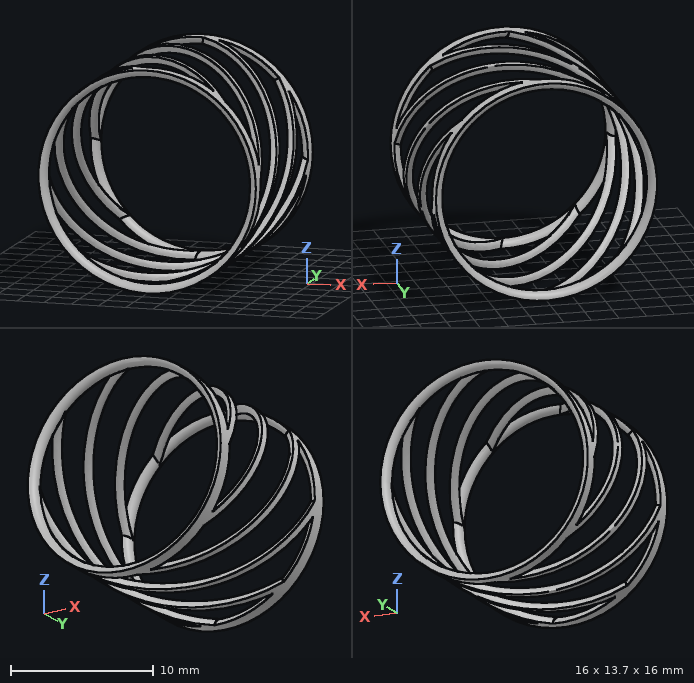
import cadquery as cq
import math

outer_radius = 8.0
thickness = 0.6
ring_width = 1.2
band_length = 13.7
strut_count = 8
strut_width = 0.66
strut_twist = 135.0
trim_allowance = 0.4

ring_offset = (band_length - ring_width) / 2
strut_length = 2 * ring_offset
inner_radius = outer_radius - thickness
stock_radius = outer_radius + trim_allowance

strut_lead = strut_length * 360.0 / strut_twist
slope_angle = math.atan2(strut_lead, 2 * math.pi * outer_radius)
strut_section_width = strut_width / math.sin(slope_angle)


def end_ring(center_y):
    """Ring with parallel end faces outside and a half-round inner face."""
    half_width = ring_width / 2
    front_y = center_y - half_width
    back_y = center_y + half_width
    return (
        cq.Workplane("XY")
        .moveTo(outer_radius, front_y)
        .lineTo(stock_radius, front_y)
        .lineTo(stock_radius, back_y)
        .lineTo(outer_radius, back_y)
        .threePointArc((inner_radius, center_y), (outer_radius, front_y))
        .close()
        .revolve(360, (0, 0, 0), (0, 1, 0))
    )


def helical_strut(start_angle):
    """Strut from ring centre to ring centre with a half-elliptical inner face."""
    half_width = strut_section_width / 2
    edge_radius = math.sqrt(outer_radius**2 - half_width**2)
    depth = edge_radius - inner_radius
    return (
        cq.Workplane("XY")
        .moveTo(edge_radius, -half_width)
        .lineTo(stock_radius, -half_width)
        .lineTo(stock_radius, half_width)
        .lineTo(edge_radius, half_width)
        .ellipseArc(half_width, depth, 0, 180, rotation_angle=90, startAtCurrent=True)
        .close()
        .twistExtrude(strut_length, -strut_twist)
        .rotate((0, 0, 0), (0, 0, 1), start_angle)
        .rotate((0, 0, 0), (1, 0, 0), 90)
        .translate((0, ring_offset, 0))
    )


stock = end_ring(-ring_offset).union(end_ring(ring_offset))
for index in range(strut_count):
    stock = stock.union(helical_strut(index * 360.0 / strut_count))

outer_cylinder = cq.Workplane("XZ").circle(outer_radius).extrude(band_length / 2, both=True)
result = stock.intersect(outer_cylinder)